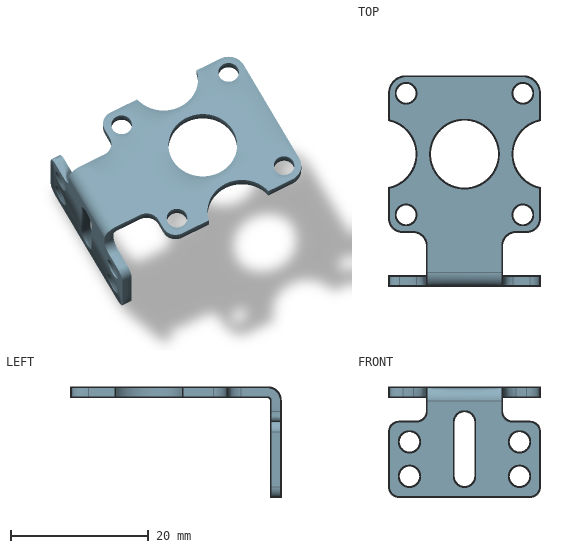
import cadquery as cq
import math


bracket_width = 22.0
bracket_depth = 30.55
bracket_height = 16.0
sheet_thickness = 1.5
neck_width = 11.0
bend_outer_radius = 2.0
bend_inner_radius = bend_outer_radius - sheet_thickness

plate_length = 22.7
plate_rear_radius = 2.5
plate_shoulder_radius = 2.0
plate_hole_diameter = 3.0
plate_hole_inset = plate_rear_radius
center_hole_diameter = 10.0
side_notch_radius = 5.0
side_notch_offset = 12.0

flange_length = 11.0
flange_radius = 1.5
flange_hole_diameter = 3.1
flange_hole_offset = 8.0
flange_hole_height = 3.02
flange_hole_pitch = 5.0
slot_width = flange_hole_diameter
slot_length = 11.0


def neck_panel(plane, pad_length, total_length, free_radius, shoulder_radius):
    """Rounded pad with a narrower neck, its free edge on the plane's X axis and its neck along Y."""
    half_width = bracket_width / 2
    half_neck = neck_width / 2
    return (
        cq.Workplane(plane)
        .lineTo(half_width - free_radius, 0)
        .tangentArcPoint((half_width, free_radius), relative=False)
        .lineTo(half_width, pad_length - shoulder_radius)
        .tangentArcPoint((half_width - shoulder_radius, pad_length), relative=False)
        .lineTo(half_neck + shoulder_radius, pad_length)
        .radiusArc((half_neck, pad_length + shoulder_radius), shoulder_radius)
        .lineTo(half_neck, total_length)
        .lineTo(0, total_length)
        .mirrorY()
        .extrude(sheet_thickness)
    )


def horizontal_plate():
    """Plate with a central hole, four corner holes and a round notch in each side."""
    plane = cq.Plane(origin=(0, bracket_depth, 0), xDir=(1, 0, 0), normal=(0, 0, -1))
    neck_end = bracket_depth - bend_outer_radius
    plate = neck_panel(plane, plate_length, neck_end, plate_rear_radius, plate_shoulder_radius)

    middle = plate_length / 2
    hole_x = bracket_width / 2 - plate_hole_inset
    hole_rows = (plate_hole_inset, plate_length - plate_hole_inset)
    corner_holes = [(side * hole_x, row) for side in (-1, 1) for row in hole_rows]
    side_notches = [(side * side_notch_offset, middle) for side in (-1, 1)]

    cutters = cq.Workplane(plane).center(0, middle).circle(center_hole_diameter / 2).extrude(sheet_thickness)
    for centers, radius in ((corner_holes, plate_hole_diameter / 2), (side_notches, side_notch_radius)):
        cutters = cutters.union(cq.Workplane(plane).pushPoints(centers).circle(radius).extrude(sheet_thickness))
    return plate.cut(cutters)


def vertical_flange():
    """Flange with two holes on each side of a vertical slot."""
    plane = cq.Plane(origin=(0, sheet_thickness, -bracket_height), xDir=(1, 0, 0), normal=(0, -1, 0))
    neck_end = bracket_height - bend_outer_radius
    flange = neck_panel(plane, flange_length, neck_end, flange_radius, flange_radius)

    hole_rows = (flange_hole_height, flange_hole_height + flange_hole_pitch)
    hole_centers = [(side * flange_hole_offset, row) for side in (-1, 1) for row in hole_rows]
    holes = cq.Workplane(plane).pushPoints(hole_centers).circle(flange_hole_diameter / 2).extrude(sheet_thickness)

    slot_middle = flange_hole_height + (slot_length - slot_width) / 2
    slot = cq.Workplane(plane).center(0, slot_middle).slot2D(slot_length, slot_width, 90).extrude(sheet_thickness)
    return flange.cut(holes).cut(slot)


def bend():
    """Quarter ring that joins the plate's neck to the flange's neck."""
    center = bend_outer_radius
    diagonal = math.cos(math.radians(45))
    outer_middle = center - bend_outer_radius * diagonal
    inner_middle = center - bend_inner_radius * diagonal
    return (
        cq.Workplane("YZ")
        .moveTo(0, -center)
        .threePointArc((outer_middle, -outer_middle), (center, 0))
        .lineTo(center, -sheet_thickness)
        .threePointArc((inner_middle, -inner_middle), (sheet_thickness, -center))
        .close()
        .extrude(neck_width / 2, both=True)
    )


result = horizontal_plate().union(bend()).union(vertical_flange())